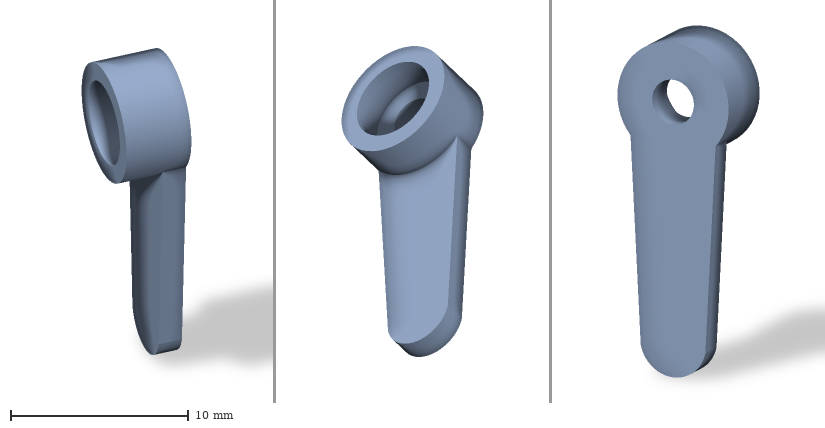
import cadquery as cq

hub_diameter = 7.0
hub_length = 3.92
recess_diameter = 4.91
bore_diameter = 2.62
recess_depth = 2.08

total_height = 19.58
arm_thickness = 1.4
arm_root_half_width = 2.68
arm_root_drop = 2.23
arm_end_half_width = 2.04
arm_tip_rise = 1.65

hub_radius = hub_diameter / 2
tip_z = hub_radius - total_height
arm_end_z = tip_z + arm_tip_rise


def cylinder_along_y(diameter, start_y, length):
    """Solid cylinder on the hub axis, running toward +Y."""
    plane = cq.Workplane("XZ", origin=(0, start_y, 0))
    return plane.circle(diameter / 2).extrude(-length)


def make_arm():
    """Tapered plate with straight sides and a rounded lower end."""
    front_y = hub_length - arm_thickness
    return (
        cq.Workplane("XZ", origin=(0, front_y, 0))
        .moveTo(-arm_root_half_width, -arm_root_drop)
        .lineTo(-arm_end_half_width, arm_end_z)
        .threePointArc((0, tip_z), (arm_end_half_width, arm_end_z))
        .lineTo(arm_root_half_width, -arm_root_drop)
        .close()
        .extrude(-arm_thickness)
    )


hub = cylinder_along_y(hub_diameter, 0, hub_length)
recess = cylinder_along_y(recess_diameter, 0, recess_depth)
bore = cylinder_along_y(bore_diameter, 0, hub_length)

result = hub.union(make_arm()).cut(recess).cut(bore)